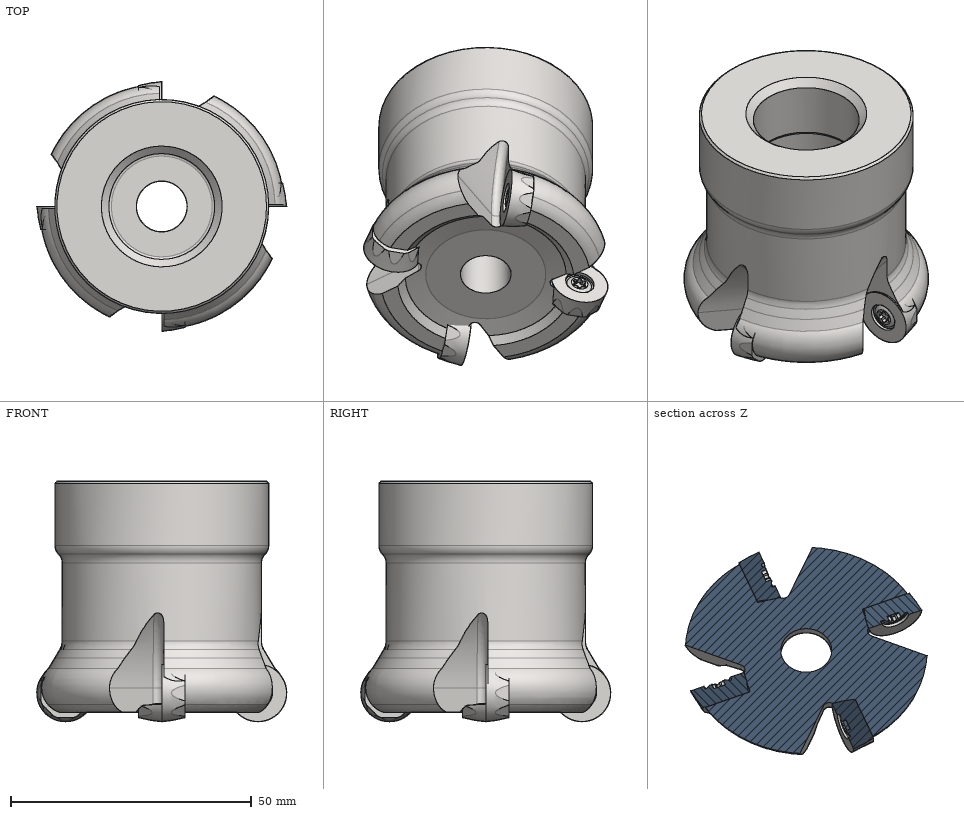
import cadquery as cq
import math

CUTTING_RADIUS = 26.0
TOTAL_HEIGHT = 50.0
INSERT_COUNT = 4

COLLAR_RADIUS = 44.5 / 2
NECK_RADIUS = 41.5 / 2
TOP_CHAMFER = 0.45
COLLAR_BOTTOM = 36.65
COLLAR_BLEND_ANGLE = 45.0

NECK_BOTTOM = 16.75
FLARE_RADIUS = 3.4
FLARE_ANGLE = 30.0
FLARE_CONE_BOTTOM = 13.2

RIM_TOP_RADIUS = 23.55
RIM_TOP_HEIGHT = 11.05
RIM_RADIUS = 25.4
RIM_HEIGHT = 7.05
RIM_LOWER_RADIUS = 24.2
RIM_LOWER_HEIGHT = 3.6

BOTTOM_HEIGHT = 2.0
BOTTOM_RING_RADIUS = 21.85
DISH_RADIUS = 18.35
DISH_STEP_RADIUS = 16.75
DISH_STEP_HEIGHT = 3.35
DISH_FLAT_RADIUS = 12.5
DISH_FLAT_HEIGHT = 3.85

BORE_RADIUS = 22.0 / 2
BORE_CHAMFER = 1.55
BORE_LAND_DEPTH = 13.15
RELIEF_RADIUS = 22.5 / 2
RELIEF_TAPER = 0.5
BORE_DEPTH = 19.75
BORE_FLOOR_FILLET = 0.8
SCREW_HOLE_RADIUS = 10.5 / 2

INSERT_RADIUS = 6.0
INSERT_THICKNESS = 4.85
INSERT_CENTRE_RADIUS = CUTTING_RADIUS - INSERT_RADIUS
CLEARANCE_SLOPE = math.tan(math.radians(7.0))
FACET_COUNT = 8
FACET_START = 2.05
FACET_ANGLE = 12.0

SINK_RADIUS = 3.0
SINK_DEPTH = 0.7
HEAD_RADIUS = 5.25 / 2
HEAD_FLAT_RADIUS = 3.5 / 2
HEAD_FLAT_DEPTH = 0.2
SOCKET_RADIUS = 1.05
SOCKET_LOBES = 6
SOCKET_LOBE_RADIUS = 0.35
SOCKET_DEPTH = 1.3

GULLET_WALL_X = 0.4
GULLET_ANGLE = 45.0
GULLET_FLOOR_DISTANCE = 8.6
GULLET_RUNOUT_RADIUS = 26.0
GULLET_RUNOUT_ANGLE = 50.0
GULLET_FILLET = 1.3
GULLET_REACH = 31.2


def revolve(profile):
    """Turn a closed radius-height profile about the tool axis."""
    return profile.revolve(360, (0, 0, 0), (0, 1, 0))


def around_axis(shape, index):
    """Turn a shape from the -Y side to one of the insert stations."""
    return shape.rotate((0, 0, 0), (0, 0, 1), index * 360 / INSERT_COUNT)


def make_blank():
    """Turned body with collar, neck, flare, rounded rim and dished underside."""
    blend_angle = math.radians(COLLAR_BLEND_ANGLE)
    step = COLLAR_RADIUS - NECK_RADIUS
    blend_radius = step / (2 * (1 - math.cos(blend_angle)))
    blend_height = blend_radius * math.sin(blend_angle)

    flare_angle = math.radians(FLARE_ANGLE)
    cone_top_radius = NECK_RADIUS + FLARE_RADIUS * (1 - math.cos(flare_angle))
    cone_top = NECK_BOTTOM - FLARE_RADIUS * math.sin(flare_angle)
    cone_bottom_radius = cone_top_radius + (cone_top - FLARE_CONE_BOTTOM) * math.tan(flare_angle)

    profile = (
        cq.Workplane("XZ")
        .moveTo(0, TOTAL_HEIGHT)
        .lineTo(COLLAR_RADIUS - TOP_CHAMFER, TOTAL_HEIGHT)
        .lineTo(COLLAR_RADIUS, TOTAL_HEIGHT - TOP_CHAMFER)
        .lineTo(COLLAR_RADIUS, COLLAR_BOTTOM)
        .tangentArcPoint((COLLAR_RADIUS - step / 2, COLLAR_BOTTOM - blend_height), relative=False)
        .tangentArcPoint((NECK_RADIUS, COLLAR_BOTTOM - 2 * blend_height), relative=False)
        .lineTo(NECK_RADIUS, NECK_BOTTOM)
        .tangentArcPoint((cone_top_radius, cone_top), relative=False)
        .lineTo(cone_bottom_radius, FLARE_CONE_BOTTOM)
        .tangentArcPoint((RIM_TOP_RADIUS, RIM_TOP_HEIGHT), relative=False)
        .threePointArc((RIM_RADIUS, RIM_HEIGHT), (RIM_LOWER_RADIUS, RIM_LOWER_HEIGHT))
        .tangentArcPoint((BOTTOM_RING_RADIUS, BOTTOM_HEIGHT), relative=False)
        .lineTo(DISH_RADIUS, BOTTOM_HEIGHT)
        .lineTo(DISH_STEP_RADIUS, DISH_STEP_HEIGHT)
        .lineTo(DISH_FLAT_RADIUS, DISH_FLAT_HEIGHT)
        .lineTo(0, DISH_FLAT_HEIGHT)
        .close()
    )
    return revolve(profile)


def make_bore():
    """Chamfered arbor bore with a relieved lower part and a through hole in its floor."""
    land_bottom = TOTAL_HEIGHT - BORE_LAND_DEPTH
    floor = TOTAL_HEIGHT - BORE_DEPTH
    profile = (
        cq.Workplane("XZ")
        .moveTo(0, TOTAL_HEIGHT)
        .lineTo(BORE_RADIUS + BORE_CHAMFER, TOTAL_HEIGHT)
        .lineTo(BORE_RADIUS, TOTAL_HEIGHT - BORE_CHAMFER)
        .lineTo(BORE_RADIUS, land_bottom)
        .lineTo(RELIEF_RADIUS, land_bottom - RELIEF_TAPER)
        .lineTo(RELIEF_RADIUS, floor + BORE_FLOOR_FILLET)
        .tangentArcPoint((RELIEF_RADIUS - BORE_FLOOR_FILLET, floor), relative=False)
        .lineTo(SCREW_HOLE_RADIUS, floor)
        .lineTo(SCREW_HOLE_RADIUS, 0)
        .lineTo(0, 0)
        .close()
    )
    return revolve(profile)


def make_gullet():
    """Chip space beside the insert on the -Y side, filleted where its floor meets its wall."""
    angle = math.radians(GULLET_ANGLE)
    along = cq.Vector(math.cos(angle), math.sin(angle), 0)
    outward = cq.Vector(math.sin(angle), -math.cos(angle), 0)
    start = outward * GULLET_FLOOR_DISTANCE - along * GULLET_REACH

    section = cq.Plane(origin=start, xDir=outward, normal=along)

    def runout_point(turn):
        outset = GULLET_RUNOUT_RADIUS * (1 - math.cos(turn))
        height = RIM_HEIGHT + GULLET_RUNOUT_RADIUS * math.sin(turn)
        return outset, -height

    runout_angle = math.radians(GULLET_RUNOUT_ANGLE)
    runout_end = runout_point(runout_angle)
    channel = (
        cq.Workplane(section)
        .moveTo(0, GULLET_REACH)
        .lineTo(0, -RIM_HEIGHT)
        .threePointArc(runout_point(runout_angle / 2), runout_end)
        .lineTo(GULLET_REACH, runout_end[1])
        .lineTo(GULLET_REACH, GULLET_REACH)
        .close()
        .extrude(2 * GULLET_REACH)
    )
    beyond_wall = (
        cq.Workplane("YZ", origin=(GULLET_WALL_X, 0, 0))
        .rect(4 * GULLET_REACH, 4 * GULLET_REACH)
        .extrude(2 * GULLET_REACH)
    )
    channel = channel.cut(beyond_wall)

    near_floor = cq.selectors.BoxSelector(
        (0, -RIM_RADIUS, -GULLET_REACH),
        (2 * GULLET_WALL_X, 0, GULLET_REACH),
    )
    floor_edges = channel.faces(">X").edges(near_floor)
    return floor_edges.fillet(GULLET_FILLET)


def make_insert_cone():
    """Plain clearance cone of an insert, face on Z = 0 and tapering toward +Z."""
    back_radius = INSERT_RADIUS - INSERT_THICKNESS * CLEARANCE_SLOPE
    return cq.Workplane(cq.Solid.makeCone(INSERT_RADIUS, back_radius, INSERT_THICKNESS))


def cut_facets(insert):
    """Cut the ring of tilted index flats into the rear of the cone."""
    start_radius = INSERT_RADIUS - FACET_START * CLEARANCE_SLOPE
    trim = (
        cq.Workplane("YZ")
        .rect(2 * INSERT_RADIUS, 4 * INSERT_THICKNESS)
        .extrude(INSERT_RADIUS)
        .rotate((0, 0, 0), (0, 1, 0), -FACET_ANGLE)
        .translate((start_radius, 0, FACET_START))
    )
    for i in range(FACET_COUNT):
        insert = insert.cut(trim.rotate((0, 0, 0), (0, 0, 1), i * 360 / FACET_COUNT))
    return insert


def cut_screw_head(insert):
    """Sink a ring around a raised conical screw head and cut its lobed socket."""
    sink = cq.Workplane("XY").circle(SINK_RADIUS).extrude(SINK_DEPTH)
    head = cq.Workplane(cq.Solid.makeCone(HEAD_FLAT_RADIUS, HEAD_RADIUS, SINK_DEPTH - HEAD_FLAT_DEPTH))
    head = head.translate((0, 0, HEAD_FLAT_DEPTH))
    socket = cq.Workplane("XY").circle(SOCKET_RADIUS).extrude(SOCKET_DEPTH)
    lobes = (
        cq.Workplane("XY")
        .polarArray(SOCKET_RADIUS, 0, 360, SOCKET_LOBES)
        .circle(SOCKET_LOBE_RADIUS)
        .extrude(SOCKET_DEPTH)
    )
    return insert.cut(sink.cut(head)).cut(socket.union(lobes))


def seat_on_body(shape):
    """Lay an insert shape on the -Y side with its face on X = 0 and its back toward +X."""
    upright = shape.rotate((0, 0, 0), (0, 1, 0), 90)
    return upright.translate((0, -INSERT_CENTRE_RADIUS, INSERT_RADIUS))


def make_body():
    """Turned blank with bore, gullets and conical insert seats."""
    body = make_blank().cut(make_bore())
    gullet = make_gullet()
    seat = seat_on_body(make_insert_cone())
    for i in range(INSERT_COUNT):
        body = body.cut(around_axis(gullet, i))
        body = body.cut(around_axis(seat, i))
    return body


def make_inserts():
    """One faceted round insert with its screw head at each station."""
    insert = seat_on_body(cut_screw_head(cut_facets(make_insert_cone())))
    return [around_axis(insert, i).val() for i in range(INSERT_COUNT)]


body = make_body()
inserts = make_inserts()
result = cq.Compound.makeCompound([body.val(), *inserts])